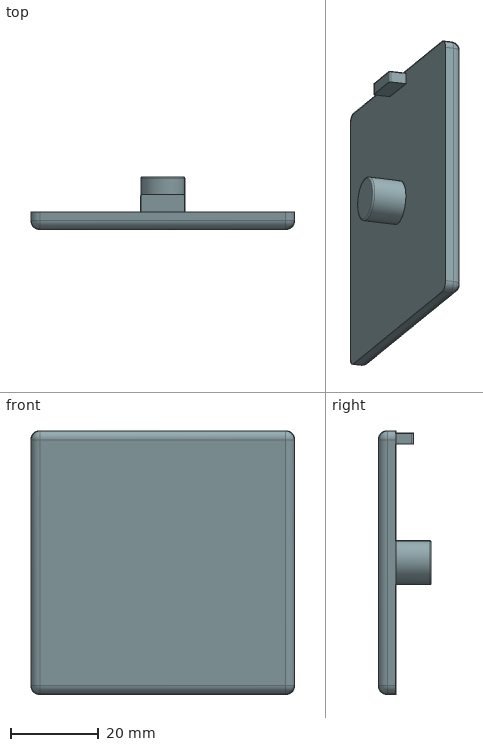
import cadquery as cq

side = 60.0
total_depth = 12.0

plate_thickness = total_depth / 3
corner_radius = 2.05
rim_radius = corner_radius

post_diameter = 10.0
post_length = total_depth - plate_thickness
end_radius = 0.4

tab_width = post_diameter
tab_length = post_length / 2
tab_height = 2.5
tab_inset = 0.55



def make_plate():
    plate = cq.Workplane("XY").box(side, plate_thickness, side, centered=(True, False, True))
    plate = plate.edges("|Y").fillet(corner_radius)
    return plate.faces("<Y").edges().fillet(rim_radius)


def make_post():
    back_plane = cq.Workplane("XZ", origin=(0, plate_thickness, 0))
    post = back_plane.circle(post_diameter / 2).extrude(-post_length)
    return post.faces(">Y").edges().fillet(end_radius)


def make_tab():
    tab_bottom = side / 2 - tab_inset - tab_height
    tab = cq.Workplane("XY").box(tab_width, tab_length, tab_height, centered=(True, False, False))
    tab = tab.faces(">Y").edges("|Z").fillet(end_radius)
    return tab.translate((0, plate_thickness, tab_bottom))


result = make_plate().union(make_post()).union(make_tab())